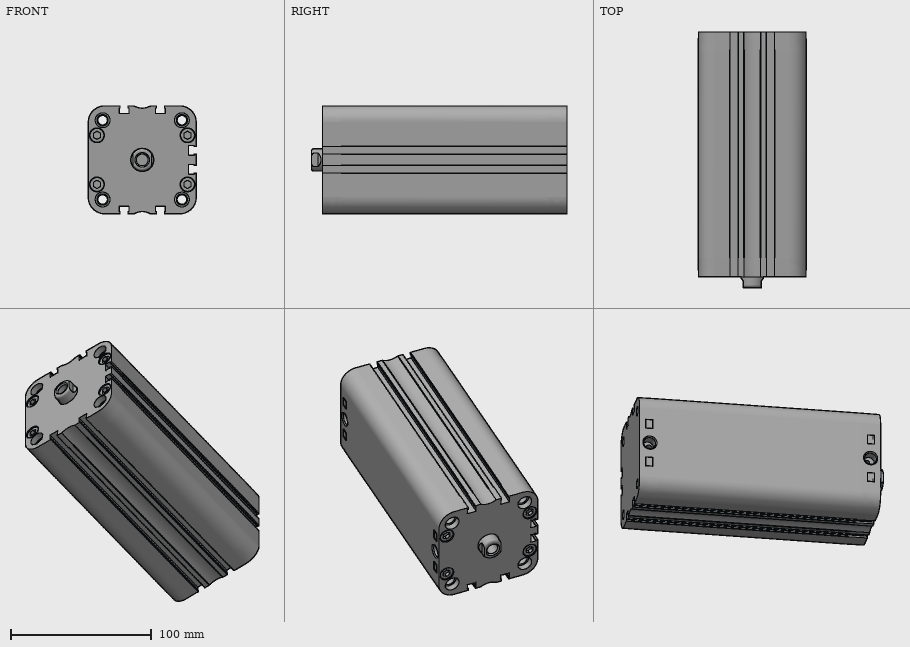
import cadquery as cq
import math


TOTAL_LENGTH = 182.0
SIDE = 77.0
ROD_STICKOUT = 7.8
BODY_LENGTH = TOTAL_LENGTH - ROD_STICKOUT
HALF = SIDE / 2

CORNER_RADIUS = 11.8
CAP_LENGTH = 13.6
CAP_DRAFT = 0.5

SLOT_MOUTH = 5.5
SLOT_WIDTH = 6.7
SLOT_DEPTH = 5.5
SLOT_LIP = 1.6
SLOT_OFFSET = 13.0
SIDE_SLOT_OFFSET = 6.7
EDGE_CHAMFER = 0.4

GROOVE_WIDTH = 11.8
GROOVE_DEPTH = 1.6

MOUNT_OFFSET = 28.2
MOUNT_HOLE_DIAMETER = 6.7
MOUNT_STEP_DIAMETER = 8.0
MOUNT_STEP_DEPTH = 18.2
MOUNT_COUNTERBORE_DIAMETER = 10.5
MOUNT_COUNTERBORE_DEPTH = 5.0

SCREW_X = 32.2
SCREW_Z = 17.5
SCREW_RECESS_DIAMETER = 10.5
SCREW_HEAD_DIAMETER = 9.8
SCREW_RECESS_DEPTH = 5.5
SCREW_HEAD_SINK = 0.7
HEX_FLATS = 5.1
HEX_DEPTH = 2.7

PORT_FROM_END = 7.3
PORT_MOUTH_DIAMETER = 10.4
PORT_DIAMETER = 8.5
PORT_DEPTH = 9.1
PORT_DUCT_DIAMETER = 4.0
PORT_DUCT_SHIFT = 1.1
PORT_DUCT_DEPTH = 5.5

LABEL_LENGTH = 5.1
LABEL_HEIGHT = 6.7
LABEL_Z = 14.5
LABEL_FROM_END = 7.0
LABEL_DEPTH = 0.5

ROD_DIAMETER = 16.0
ROD_BORE_DIAMETER = 16.5
ROD_BORE_DEPTH = 1.8
ROD_TIP_ROUND = 1.8
FLAT_ACROSS = 13.0
FLAT_LENGTH = 5.0
FLAT_RUNOUT = 2.0
ROD_THREAD_DIAMETER = 8.4
ROD_THREAD_MOUTH = 10.4
ROD_THREAD_DEPTH = 18.2


def tube_block(start_y, length, direction=1, draft=0):
    """Rounded square block grown along Y from start_y; a draft narrows it towards its far face."""
    plane = cq.Plane(origin=(0, start_y, 0), xDir=(1, 0, 0), normal=(0, direction, 0))
    outline = cq.Sketch().rect(SIDE, SIDE).vertices().fillet(CORNER_RADIUS)
    return cq.Workplane(plane).placeSketch(outline).extrude(length, taper=draft)


def cylinder(diameter, length):
    """Cylinder along +Z from the origin."""
    return cq.Workplane().circle(diameter / 2).extrude(length)


def countersunk_hole(diameter, depth, mouth_diameter):
    """Blind hole cutter along +Z from the origin with a 45 degree countersunk mouth."""
    rim = (mouth_diameter - diameter) / 2
    cone = cq.Solid.makeCone(mouth_diameter / 2, diameter / 2, rim)
    return cylinder(diameter, depth).union(cq.Workplane(cone))


def along_y(shape, x, y, z):
    """Turn a shape that runs along +Z so that it runs along +Y, starting at the given point."""
    return shape.rotate((0, 0, 0), (1, 0, 0), -90).translate((x, y, z))


def into_left(cutter, y, z):
    """Turn a cutter that runs along +Z so that it runs along +X from the left side."""
    return cutter.rotate((0, 0, 0), (0, 1, 0), 90).translate((-HALF, y, z))


def edge_break(x):
    """Cutter that breaks the sharp edge at x on the top side, leaving the front cap sharp."""
    bar_side = EDGE_CHAMFER * math.sqrt(2)
    bar = cq.Workplane().rect(bar_side, bar_side).extrude(BODY_LENGTH - CAP_LENGTH)
    return along_y(bar.rotate((0, 0, 0), (0, 0, 1), 45), x, CAP_LENGTH, HALF)


def top_slot(x):
    """T-slot cutter open towards +Z, running the full length."""
    centering = (True, False, False)
    mouth = cq.Workplane().box(SLOT_MOUTH, BODY_LENGTH, SLOT_DEPTH, centered=centering)
    chamber = cq.Workplane().box(SLOT_WIDTH, BODY_LENGTH, SLOT_DEPTH - SLOT_LIP, centered=centering)
    slot = mouth.union(chamber).translate((x, 0, HALF - SLOT_DEPTH))
    for edge in (x - SLOT_MOUTH / 2, x + SLOT_MOUTH / 2):
        slot = slot.union(edge_break(edge))
    return slot


def top_groove():
    """Shallow cylindrical groove along the middle of the top side, flaring with the draft of the caps."""
    radius = (GROOVE_WIDTH ** 2 / 4 + GROOVE_DEPTH ** 2) / (2 * GROOVE_DEPTH)
    end_radius = radius + CAP_LENGTH * math.tan(math.radians(CAP_DRAFT))
    half_section = cq.Workplane().polyline([
        (0, 0),
        (end_radius, 0),
        (radius, CAP_LENGTH),
        (radius, BODY_LENGTH - CAP_LENGTH),
        (end_radius, BODY_LENGTH),
        (0, BODY_LENGTH),
    ]).close()
    groove = half_section.revolve(360, (0, 0), (0, 1)).translate((0, 0, HALF - GROOVE_DEPTH + radius))
    for edge in (-GROOVE_WIDTH / 2, GROOVE_WIDTH / 2):
        groove = groove.union(edge_break(edge))
    return groove


def mounting_hole():
    """Through hole cutter with two wider steps at the front."""
    hole = cylinder(MOUNT_HOLE_DIAMETER, BODY_LENGTH)
    hole = hole.union(cylinder(MOUNT_STEP_DIAMETER, MOUNT_STEP_DEPTH))
    return hole.union(cylinder(MOUNT_COUNTERBORE_DIAMETER, MOUNT_COUNTERBORE_DEPTH))


def screw_recess():
    """Cutter that leaves a socket screw head standing in its round recess."""
    recess = cylinder(SCREW_RECESS_DIAMETER, SCREW_RECESS_DEPTH)
    head = cylinder(SCREW_HEAD_DIAMETER, SCREW_RECESS_DEPTH - SCREW_HEAD_SINK)
    hex_across_corners = HEX_FLATS / math.cos(math.radians(30))
    socket = cq.Workplane().polygon(6, hex_across_corners).extrude(SCREW_HEAD_SINK + HEX_DEPTH)
    socket = socket.rotate((0, 0, 0), (0, 0, 1), 30)
    return recess.cut(head.translate((0, 0, SCREW_HEAD_SINK))).union(socket)


def rod_end():
    """Rounded rod tip at Y = 0 with two wrench flats; the flats run out in a slope."""
    radius = ROD_DIAMETER / 2
    rod = cylinder(ROD_DIAMETER, ROD_STICKOUT + ROD_BORE_DEPTH)
    rod = along_y(rod.faces("<Z").edges().fillet(ROD_TIP_ROUND), 0, 0, 0)
    flat = cq.Workplane().polyline([
        (FLAT_ACROSS / 2, 0),
        (FLAT_ACROSS / 2, FLAT_LENGTH),
        (radius, FLAT_LENGTH + FLAT_RUNOUT),
        (radius, 0),
    ]).close().extrude(radius, both=True)
    return rod.cut(flat).cut(flat.mirror("YZ"))


rear_joint = BODY_LENGTH - CAP_LENGTH
body = tube_block(CAP_LENGTH, rear_joint - CAP_LENGTH)
body = body.union(tube_block(CAP_LENGTH, CAP_LENGTH, -1, CAP_DRAFT))
body = body.union(tube_block(rear_joint, CAP_LENGTH, 1, CAP_DRAFT))

for cutter in (top_slot(-SLOT_OFFSET), top_slot(SLOT_OFFSET), top_groove()):
    body = body.cut(cutter).cut(cutter.mirror("XY"))
for offset in (-SIDE_SLOT_OFFSET, SIDE_SLOT_OFFSET):
    body = body.cut(top_slot(offset).rotate((0, 0, 0), (0, 1, 0), 90))

for side_x in (-1, 1):
    for side_z in (-1, 1):
        body = body.cut(along_y(mounting_hole(), side_x * MOUNT_OFFSET, 0, side_z * MOUNT_OFFSET))
        body = body.cut(along_y(screw_recess(), side_x * SCREW_X, 0, side_z * SCREW_Z))

port = countersunk_hole(PORT_DIAMETER, PORT_DEPTH, PORT_MOUTH_DIAMETER)
duct = cylinder(PORT_DUCT_DIAMETER, PORT_DEPTH + PORT_DUCT_DEPTH)
label = cq.Workplane().rect(LABEL_HEIGHT, LABEL_LENGTH).extrude(LABEL_DEPTH)
for end, inward in ((0, 1), (BODY_LENGTH, -1)):
    port_y = end + inward * PORT_FROM_END
    body = body.cut(into_left(port, port_y, 0))
    body = body.cut(into_left(duct, port_y + inward * PORT_DUCT_SHIFT, 0))
    for label_z in (-LABEL_Z, LABEL_Z):
        body = body.cut(into_left(label, end + inward * LABEL_FROM_END, label_z))

rod_thread = countersunk_hole(ROD_THREAD_DIAMETER, ROD_THREAD_DEPTH, ROD_THREAD_MOUTH)
body = body.cut(along_y(cylinder(ROD_BORE_DIAMETER, ROD_BORE_DEPTH), 0, 0, 0))
body = body.union(rod_end().translate((0, -ROD_STICKOUT, 0)))
body = body.cut(along_y(rod_thread, 0, -ROD_STICKOUT, 0))

result = body